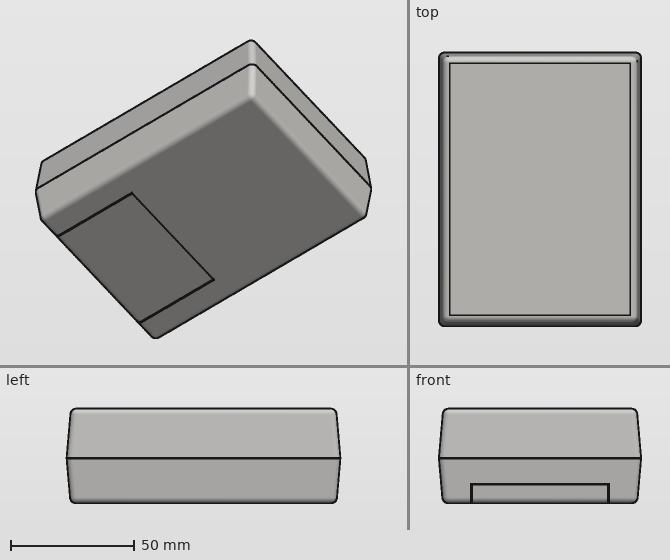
import cadquery as cq
import math

case_width = 82.0
case_length = 111.0
upper_height = 20.0
lower_depth = 18.4
parting_gap = 0.2
draft_angle = 5.0
edge_radius = 2.5

label_border = 0.45
label_depth = 0.5

door_gap = 0.5
opening_width = 56.0
opening_top = -10.4
opening_length = 40.0
door_width = opening_width - 2 * door_gap
door_top = opening_top - door_gap


def half_form(height):
    """Drafted block standing on its widest face, rounded on every edge not bounding that face."""
    block = cq.Workplane("XY").rect(case_width, case_length).extrude(height, taper=draft_angle)
    return block.edges("not <Z").fillet(edge_radius)


def flat_inset(height):
    """Distance from the widest outline of a half in to its flat end face."""
    draft_inset = height * math.tan(math.radians(draft_angle))
    fillet_inset = edge_radius * math.tan(math.radians((90 - draft_angle) / 2))
    return draft_inset + fillet_inset


def front_block(width, top):
    """Block from the floor up to the given height, running back from the front of the case."""
    return (
        cq.Workplane("XY")
        .box(width, opening_length, top + lower_depth, centered=(True, False, False))
        .translate((0, -case_length / 2, -lower_depth))
    )


label_inset = flat_inset(upper_height) + label_border
label_recess = (
    cq.Workplane("XY", origin=(0, 0, upper_height - label_depth))
    .rect(case_width - 2 * label_inset, case_length - 2 * label_inset)
    .extrude(label_depth)
)
upper_half = half_form(upper_height).cut(label_recess)

lower_form = (
    half_form(lower_depth - parting_gap)
    .mirror("XY")
    .translate((0, 0, -parting_gap))
)
lower_half = lower_form.cut(front_block(opening_width, opening_top))

battery_door = lower_form.intersect(front_block(door_width, door_top))

result = cq.Compound.makeCompound([
    upper_half.solids().val(),
    lower_half.solids().val(),
    battery_door.solids().val(),
])